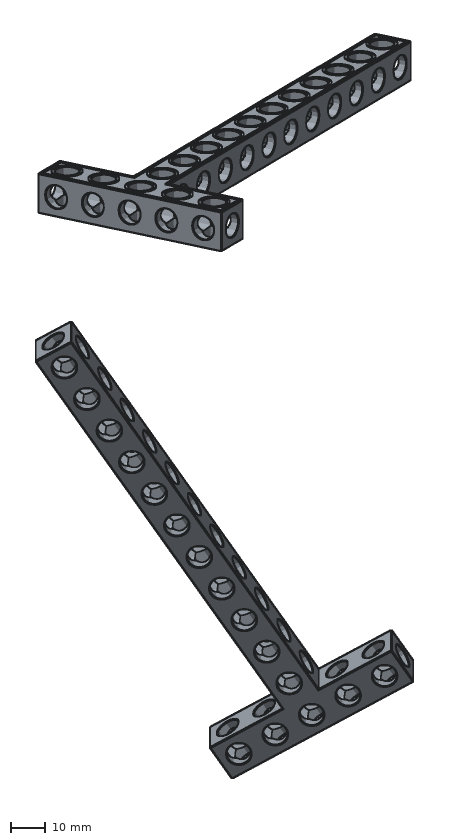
import cadquery as cq


BEAM_LENGTH = 150.0
BAR_UNITS = 5
ARM_UNITS = 12
ARM_CROSS_PITCH = 12.5

HOLE_RADIUS = 7.0 / 2
HOLE_CHAMFER = 0.27
EDGE_CHAMFER = 0.3

RING_RADIUS = 9.2 / 2
RIM_WIDTH = 1.0
RECESS_DEPTH = 0.22

CELL = BEAM_LENGTH / ARM_UNITS
HALF_CELL = CELL / 2
BAR_HALF_LENGTH = BAR_UNITS * HALF_CELL
ARM_END_Y = BEAM_LENGTH - HALF_CELL

bar_x = [(i - (BAR_UNITS - 1) / 2) * CELL for i in range(BAR_UNITS)]
arm_y = [i * CELL for i in range(1, ARM_UNITS)]
arm_cross_y = [arm_y[-1] - i * ARM_CROSS_PITCH for i in range(len(arm_y))]
top_points = [(x, 0) for x in bar_x] + [(0, y) for y in arm_y]


def tee_block(inset, bottom, height):
    """T-shaped block whose outline lies `inset` inside the beam outline."""
    half_width = HALF_CELL - inset
    bar_half = BAR_HALF_LENGTH - inset
    arm_end = ARM_END_Y - inset
    return (
        cq.Workplane("XY", origin=(0, 0, bottom))
        .moveTo(-bar_half, -half_width)
        .lineTo(bar_half, -half_width)
        .lineTo(bar_half, half_width)
        .lineTo(half_width, half_width)
        .lineTo(half_width, arm_end)
        .lineTo(-half_width, arm_end)
        .lineTo(-half_width, half_width)
        .lineTo(-bar_half, half_width)
        .close()
        .extrude(height)
    )


def is_inner_corner(edge):
    """True for the two vertical edges where the bar meets the arm."""
    corners = [cq.Vector(side * HALF_CELL, HALF_CELL, 0) for side in (-1, 1)]
    return any((edge.Center() - point).Length < EDGE_CHAMFER for point in corners)


def chamfered_beam():
    """Solid T with every outer edge chamfered and sharp inner corners."""
    block = tee_block(0, -HALF_CELL, CELL)
    outer_edges = [edge for edge in block.edges().vals() if not is_inner_corner(edge)]
    return block.newObject(outer_edges).chamfer(EDGE_CHAMFER)


def top_recess():
    """Shallow recess in the top face, leaving the rim and the hole rings."""
    floor_z = HALF_CELL - RECESS_DEPTH
    rings = (
        cq.Workplane("XY", origin=(0, 0, floor_z))
        .pushPoints(top_points)
        .circle(RING_RADIUS)
        .extrude(RECESS_DEPTH)
    )
    return tee_block(RIM_WIDTH, floor_z, RECESS_DEPTH).cut(rings)


def through_hole(start, end):
    """Cutter for a round hole from start to end, chamfered at both mouths."""
    axis = end - start
    direction = axis.normalized()
    cutter = cq.Solid.makeCylinder(HOLE_RADIUS, axis.Length, start, direction)
    for mouth, inward in ((start, direction), (end, -direction)):
        countersink = cq.Solid.makeCone(
            HOLE_RADIUS + HOLE_CHAMFER, HOLE_RADIUS, HOLE_CHAMFER, mouth, inward
        )
        cutter = cutter.fuse(countersink)
    return cutter


def hole_cutters():
    """All holes: vertical, across the bar, across the arm and lengthwise."""
    cutters = []
    for x, y in top_points:
        cutters.append(through_hole(cq.Vector(x, y, -HALF_CELL), cq.Vector(x, y, HALF_CELL)))
    for x in bar_x:
        far_y = ARM_END_Y if x == 0 else HALF_CELL
        cutters.append(through_hole(cq.Vector(x, -HALF_CELL, 0), cq.Vector(x, far_y, 0)))
    for y in arm_cross_y:
        cutters.append(through_hole(cq.Vector(-HALF_CELL, y, 0), cq.Vector(HALF_CELL, y, 0)))
    bar_start = cq.Vector(-BAR_HALF_LENGTH, 0, 0)
    bar_end = cq.Vector(BAR_HALF_LENGTH, 0, 0)
    cutters.append(through_hole(bar_start, bar_end))
    return cutters


beam = chamfered_beam().cut(top_recess())
for hole in hole_cutters():
    beam = beam.cut(cq.Workplane(hole))
result = beam.solids()